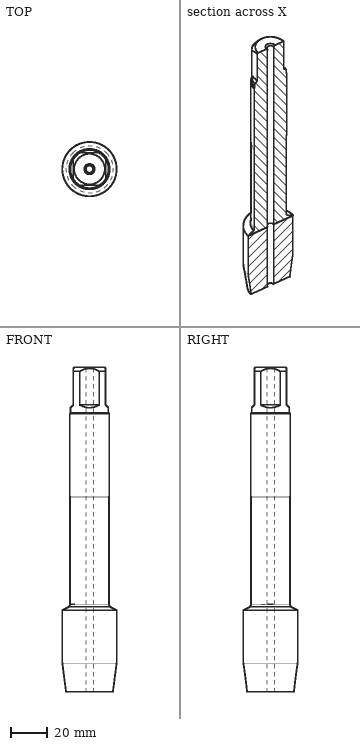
import cadquery as cq
import math

TOTAL_LENGTH = 180
LEAD_LENGTH = 16.0
HEAD_TOP = 45.4
SHOULDER_RISE = 2.0
COLLAR_RISE = 1.3
NECK_TOP = 107.8
STEP_HEIGHT = 0.5
SHANK_TOP = 154.8
SHANK_CHAMFER = 0.5

LEAD_TIP_DIAMETER = 26.1
HEAD_DIAMETER = 30.2
SHANK_DIAMETER = 22.0
NECK_RELIEF = 0.27
NECK_DIAMETER = SHANK_DIAMETER - NECK_RELIEF
COLLAR_DIAMETER = 22.5
DRIVE_DIAMETER = 21.0
DRIVE_FACE_DIAMETER = 17.0
COOLANT_DIAMETER = 4.0
COUNTERSINK_DIAMETER = 5.8

SQUARE_WIDTH = 18.0
SQUARE_LENGTH = 20.9
RUNOUT_SLOPE = 45
TOP_BEVEL_HEIGHT = 2.3


def revolved(outline):
    """Revolve (diameter, height) corners, closed along the Z axis."""
    half_profile = [(diameter / 2, height) for diameter, height in outline]
    return (
        cq.Workplane("XZ")
        .moveTo(0, outline[0][1])
        .polyline(half_profile, includeCurrent=True)
        .lineTo(0, outline[-1][1])
        .close()
        .revolve(360, (0, 0, 0), (0, 1, 0))
    )


def coolant_hole():
    """Through hole on the axis with a 45 degree countersink at the drive end."""
    sink_depth = (COUNTERSINK_DIAMETER - COOLANT_DIAMETER) / 2
    return revolved([
        (COOLANT_DIAMETER, 0),
        (COOLANT_DIAMETER, TOTAL_LENGTH - sink_depth),
        (COUNTERSINK_DIAMETER, TOTAL_LENGTH),
    ])


def drive_flat(angle):
    """Material outside one flat of the square, with a sloping run-out below it."""
    flat = SQUARE_WIDTH / 2
    outside = SHANK_DIAMETER
    flat_bottom = TOTAL_LENGTH - SQUARE_LENGTH
    runout = (outside - flat) * math.tan(math.radians(RUNOUT_SLOPE))
    return (
        cq.Workplane("XZ")
        .polyline([
            (flat, TOTAL_LENGTH),
            (flat, flat_bottom),
            (outside, flat_bottom - runout),
            (outside, TOTAL_LENGTH),
        ])
        .close()
        .extrude(SHANK_DIAMETER / 2, both=True)
        .rotate((0, 0, 0), (0, 0, 1), angle)
    )


def make_cutting_head():
    """Cylindrical head with a tapered lead."""
    head = revolved([
        (LEAD_TIP_DIAMETER, 0),
        (HEAD_DIAMETER, LEAD_LENGTH),
        (HEAD_DIAMETER, HEAD_TOP),
    ])
    return head.cut(coolant_hole())


def make_shank():
    """Shoulder, neck, shank and driving square, seated on the head."""
    shoulder_top = HEAD_TOP + SHOULDER_RISE
    shank = revolved([
        (HEAD_DIAMETER, HEAD_TOP),
        (COLLAR_DIAMETER, shoulder_top),
        (NECK_DIAMETER, shoulder_top + COLLAR_RISE),
        (NECK_DIAMETER, NECK_TOP),
        (SHANK_DIAMETER, NECK_TOP + STEP_HEIGHT),
        (SHANK_DIAMETER, SHANK_TOP - SHANK_CHAMFER),
        (DRIVE_DIAMETER, SHANK_TOP),
        (DRIVE_DIAMETER, TOTAL_LENGTH - TOP_BEVEL_HEIGHT),
        (DRIVE_FACE_DIAMETER, TOTAL_LENGTH),
    ])
    for angle in range(0, 360, 90):
        shank = shank.cut(drive_flat(angle))
    return shank.cut(coolant_hole())


cutting_head = make_cutting_head()
shank = make_shank()

result = cq.Compound.makeCompound([cutting_head.val(), shank.val()])